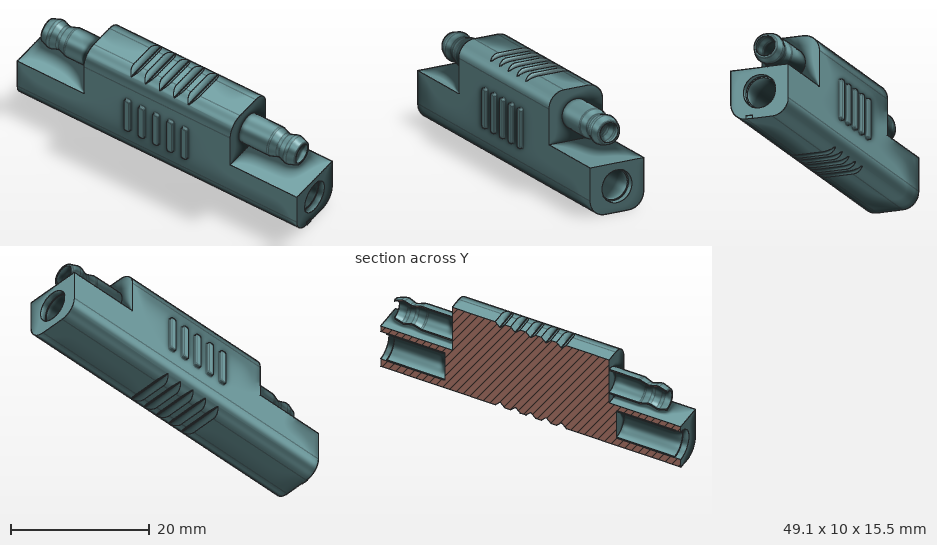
import cadquery as cq

OVERALL_LENGTH = 49.1
HOUSING_LENGTH = 49.0
HOUSING_WIDTH = 9.0
HOUSING_HEIGHT = 15.5
CORNER_RADIUS = 2.5
SHOULDER_SETBACK = 11.7
LEDGE_HEIGHT = 7.55

GRIP_COUNT = 5
GRIP_PITCH = 2.5
NOTCH_DEPTH = 0.75
NOTCH_FLOOR = 0.1
TOTAL_WIDTH = 10.0
RIB_LENGTH = 6.1
RIB_WIDTH = 1.05
RIB_CORNER_RADIUS = 0.35
RIB_EDGE_RADIUS = 0.15
RIB_ROOT_RADIUS = 0.1

MARK_PROJECTION = OVERALL_LENGTH - HOUSING_LENGTH
MARK_WIDTH = 1.05
MARK_HEIGHT = 0.5
MARK_Y = -1.55

SOCKET_Z = 4.0
HOLE_RADIUS = 2.5
SLEEVE_BORE_RADIUS = 2.3
SLEEVE_RECESS = 1.0
SLEEVE_LENGTH = 9.5

PIN_Z = 11.5
PIN_RADIUS = 2.3
PIN_WAIST_RADIUS = 1.8
PIN_TIP_SETBACK = 2.25
PIN_LENGTH = SHOULDER_SETBACK - PIN_TIP_SETBACK
PIN_CONE_LENGTH = 1.45
PIN_BLEND_RADIUS = 0.85
PIN_TIP_RADIUS = 0.15
PIN_WALL = 0.32

HALF_LENGTH = HOUSING_LENGTH / 2
HOLE_DEPTH = SLEEVE_RECESS + SLEEVE_LENGTH
GRIP_POSITIONS = [(i - (GRIP_COUNT - 1) / 2) * GRIP_PITCH for i in range(GRIP_COUNT)]
ENDS = (-1, 1)


def x_cylinder(radius, x_start, x_end, z):
    """Cylinder parallel to X at y = 0."""
    return cq.Workplane("YZ", origin=(x_start, 0, z)).circle(radius).extrude(x_end - x_start)


def make_block():
    """Rounded bar with both upper ends cut down to a ledge."""
    block = (
        cq.Workplane("XY")
        .box(HOUSING_LENGTH, HOUSING_WIDTH, HOUSING_HEIGHT, centered=(True, True, False))
        .edges("|X")
        .fillet(CORNER_RADIUS)
    )
    cut_height = HOUSING_HEIGHT - LEDGE_HEIGHT
    for end in ENDS:
        corner = cq.Workplane("XY").box(SHOULDER_SETBACK, HOUSING_WIDTH, cut_height)
        x = end * (HALF_LENGTH - SHOULDER_SETBACK / 2)
        block = block.cut(corner.translate((x, 0, LEDGE_HEIGHT + cut_height / 2)))
    return block


def make_notch(x, z_surface, inward):
    """Tapered notch across the width, cutting up (inward = 1) or down (inward = -1)."""
    half_floor = NOTCH_FLOOR / 2
    half_mouth = half_floor + NOTCH_DEPTH
    z_floor = z_surface + inward * NOTCH_DEPTH
    return (
        cq.Workplane("XZ")
        .moveTo(x - half_mouth, z_surface)
        .lineTo(x - half_floor, z_floor)
        .lineTo(x + half_floor, z_floor)
        .lineTo(x + half_mouth, z_surface)
        .close()
        .extrude(HOUSING_WIDTH / 2, both=True)
    )


def make_rib(x):
    """Upright rib with rounded corners, passing through the housing to both sides."""
    return (
        cq.Workplane("XZ", origin=(x, 0, HOUSING_HEIGHT / 2))
        .rect(RIB_WIDTH, RIB_LENGTH)
        .extrude(TOTAL_WIDTH / 2, both=True)
        .edges("|Y")
        .fillet(RIB_CORNER_RADIUS)
        .faces("<Y or >Y")
        .edges()
        .fillet(RIB_EDGE_RADIUS)
    )


def round_rib_roots(housing):
    """Blend the ribs into both sides of the housing."""
    half_reach = GRIP_POSITIONS[-1] + RIB_WIDTH
    half_rise = RIB_LENGTH / 2 + RIB_ROOT_RADIUS
    z_middle = HOUSING_HEIGHT / 2
    for side in (-1, 1):
        y = side * HOUSING_WIDTH / 2
        root_zone = cq.selectors.BoxSelector(
            (-half_reach, y - RIB_ROOT_RADIUS, z_middle - half_rise),
            (half_reach, y + RIB_ROOT_RADIUS, z_middle + half_rise),
        )
        housing = housing.edges(root_zone).fillet(RIB_ROOT_RADIUS)
    return housing


def make_mark():
    """Raised mark on the +X end face."""
    return cq.Workplane("XY", origin=(HALF_LENGTH, MARK_Y, 0)).box(
        MARK_PROJECTION, MARK_WIDTH, MARK_HEIGHT, centered=(False, True, False)
    )


def make_housing():
    housing = make_block()
    for x in GRIP_POSITIONS:
        housing = housing.cut(make_notch(x, 0, 1))
        housing = housing.cut(make_notch(x, HOUSING_HEIGHT, -1))
        housing = housing.union(make_rib(x))
    housing = round_rib_roots(housing)
    for end in ENDS:
        x_bottom = end * (HALF_LENGTH - HOLE_DEPTH)
        housing = housing.cut(x_cylinder(HOLE_RADIUS, x_bottom, end * HALF_LENGTH, SOCKET_Z))
    return housing.union(make_mark())


def make_spindle(inset):
    """Turned pin shape along X from its tip at x = 0, every radius reduced by inset."""
    bulge_x, waist_x, shank_x = (n * PIN_CONE_LENGTH for n in (1, 2, 3))
    large = PIN_RADIUS - inset
    small = PIN_WAIST_RADIUS - inset
    spindle = (
        cq.Workplane("XY")
        .moveTo(0, 0)
        .lineTo(0, small)
        .lineTo(bulge_x, large)
        .lineTo(waist_x, small)
        .lineTo(shank_x, large)
        .lineTo(PIN_LENGTH, large)
        .lineTo(PIN_LENGTH, 0)
        .close()
        .revolve(360, (0, 0, 0), (1, 0, 0))
    )
    margin = PIN_CONE_LENGTH / 2
    blend_zone = cq.selectors.BoxSelector(
        (bulge_x - margin, -margin, -margin),
        (shank_x + margin, margin, margin),
    )
    return spindle.edges("%CIRCLE").edges(blend_zone).fillet(PIN_BLEND_RADIUS)


def make_pin(end):
    """Hollow pin standing on the shoulder, its tip toward the given end."""
    outside = make_spindle(0).faces("<X").edges().fillet(PIN_TIP_RADIUS)
    pin = outside.cut(make_spindle(PIN_WALL))
    if end > 0:
        pin = pin.rotate((0, 0, 0), (0, 0, 1), 180)
    return pin.translate((end * (HALF_LENGTH - PIN_TIP_SETBACK), 0, PIN_Z))


def make_sleeve(end):
    """Tube filling the socket hole from its bottom to the recess at its mouth."""
    x_inner = end * (HALF_LENGTH - HOLE_DEPTH)
    x_outer = end * (HALF_LENGTH - SLEEVE_RECESS)
    tube = x_cylinder(HOLE_RADIUS, x_inner, x_outer, SOCKET_Z)
    return tube.cut(x_cylinder(SLEEVE_BORE_RADIUS, x_inner, x_outer, SOCKET_Z))


housing = make_housing()
pins = [make_pin(end) for end in ENDS]
sleeves = [make_sleeve(end) for end in ENDS]

bodies = [housing, *pins, *sleeves]
result = cq.Compound.makeCompound([body.val() for body in bodies])